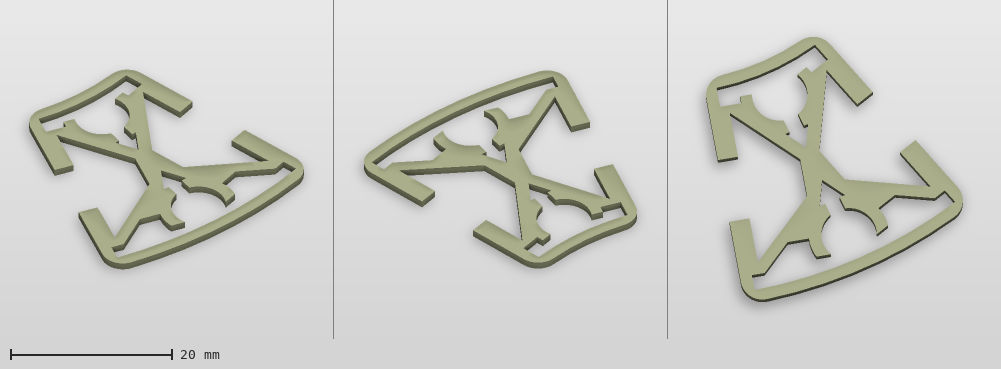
import cadquery as cq
import math

THICKNESS = 1.0
SECTOR_ANGLE = 30.0
HALF_ANGLE = math.radians(SECTOR_ANGLE / 2)
INNER_RADIUS = 30.03
OUTER_RADIUS = 60.0
CORNER_RADIUS = 2.7
WALL = 1.5

BAR_WIDTH = 2.5
INNER_BAR_END = 40.87
OUTER_BAR_END = 49.1
NOTCH_INNER_TIP = 35.0
NOTCH_OUTER_TIP = 54.98
NOTCH_DEPTH = 10.05

SEAT_RADIUS = 3.45
CLIP_OUTER_RADIUS = 5.0
THROAT_HALF_WIDTH = 1.0
RELIEF_HALF_ANGLE = math.radians(30)
INNER_SEAT_DISTANCE = 34.9
INNER_THROAT_END = 39.88
INNER_RELIEF_TIP = 42.6
OUTER_SEAT_DISTANCE = 55.18
OUTER_THROAT_END = 50.3
OUTER_RELIEF_TIP = 47.28

INNER_WINDOW_SIDE = 34.0
INNER_JAW_END = 33.07
INNER_JAW_BASE = 4.15
OUTER_WINDOW_SIDE = 56.5
OUTER_WINDOW_SIDE_TOP = 3.1
OUTER_WEB_SIDE = 53.0
OUTER_JAW_END = 55.5


def polar(radius, angle):
    return (radius * math.cos(angle), radius * math.sin(angle))


def on_ray(along, offset=0.0):
    """Point at a distance along the symmetry ray and an offset to its left."""
    x, y = polar(along, HALF_ANGLE)
    return (x - offset * math.sin(HALF_ANGLE), y + offset * math.cos(HALF_ANGLE))


def on_circle_below(center, radius, x):
    """Point of a circle's lower half at the given X."""
    return (x, center[1] - math.sqrt(radius**2 - (x - center[0]) ** 2))


def arc_middle(center, radius, start, end):
    """Middle of the shorter arc between two points of a circle."""
    dx = (start[0] + end[0]) / 2 - center[0]
    dy = (start[1] + end[1]) / 2 - center[1]
    x, y = polar(radius, math.atan2(dy, dx))
    return (center[0] + x, center[1] + y)


def arc_to(sketch, center, radius, start, end):
    return sketch.threePointArc(arc_middle(center, radius, start, end), end)


def throat_points(throat_end, tip):
    """Throat end, relief shoulder and relief tip, in order toward the tip."""
    shoulder = abs(tip - throat_end) * math.tan(RELIEF_HALF_ANGLE)
    return [
        on_ray(throat_end, -THROAT_HALF_WIDTH),
        on_ray(throat_end, -shoulder),
        on_ray(tip),
    ]


def seat_mouth(distance, side):
    """Point where the seat meets its throat; side is +1 away from the origin."""
    reach = math.sqrt(SEAT_RADIUS**2 - THROAT_HALF_WIDTH**2)
    return on_ray(distance + side * reach, -THROAT_HALF_WIDTH)


def lines_to(sketch, points):
    for point in points:
        sketch = sketch.lineTo(*point)
    return sketch


def sector_plate():
    full_angle = math.radians(SECTOR_ANGLE)
    return (
        cq.Workplane("XY")
        .moveTo(INNER_RADIUS, 0)
        .lineTo(OUTER_RADIUS, 0)
        .threePointArc(on_ray(OUTER_RADIUS), polar(OUTER_RADIUS, full_angle))
        .lineTo(*polar(INNER_RADIUS, full_angle))
        .threePointArc(on_ray(INNER_RADIUS), (INNER_RADIUS, 0))
        .close()
        .extrude(THICKNESS)
        .edges("|Z")
        .fillet(CORNER_RADIUS)
    )


def side_notch():
    flank_run = NOTCH_DEPTH - BAR_WIDTH
    outline = [
        (INNER_BAR_END, 0),
        (INNER_BAR_END, BAR_WIDTH),
        (NOTCH_INNER_TIP, BAR_WIDTH),
        (NOTCH_INNER_TIP + flank_run, NOTCH_DEPTH),
        (NOTCH_OUTER_TIP - flank_run, NOTCH_DEPTH),
        (NOTCH_OUTER_TIP, BAR_WIDTH),
        (OUTER_BAR_END, BAR_WIDTH),
        (OUTER_BAR_END, 0),
    ]
    return cq.Workplane("XY").polyline(outline).close().extrude(THICKNESS)


def window_start(radius):
    """Half window outline begun along its curved wall, from the ray to the straight side."""
    start = on_ray(radius)
    end = (math.sqrt(radius**2 - WALL**2), WALL)
    return arc_to(cq.Workplane("XY").moveTo(*start), (0, 0), radius, start, end)


def inner_half_window():
    seat = on_ray(INNER_SEAT_DISTANCE)
    jaw_tip = on_circle_below(seat, SEAT_RADIUS, INNER_JAW_END)
    sketch = lines_to(
        window_start(INNER_RADIUS + WALL),
        [
            (INNER_WINDOW_SIDE, WALL),
            (INNER_WINDOW_SIDE, INNER_JAW_BASE),
            (INNER_JAW_END, INNER_JAW_BASE),
            jaw_tip,
        ],
    )
    sketch = arc_to(sketch, seat, SEAT_RADIUS, jaw_tip, seat_mouth(INNER_SEAT_DISTANCE, 1))
    sketch = lines_to(sketch, throat_points(INNER_THROAT_END, INNER_RELIEF_TIP))
    return sketch.close().extrude(THICKNESS)


def outer_half_window():
    seat = on_ray(OUTER_SEAT_DISTANCE)
    jaw_root = on_circle_below(seat, CLIP_OUTER_RADIUS, OUTER_WEB_SIDE)
    jaw_outer_tip = on_circle_below(seat, CLIP_OUTER_RADIUS, OUTER_JAW_END)
    jaw_inner_tip = on_circle_below(seat, SEAT_RADIUS, OUTER_JAW_END)
    web_corner_height = OUTER_WINDOW_SIDE_TOP + OUTER_WINDOW_SIDE - OUTER_WEB_SIDE
    sketch = lines_to(
        window_start(OUTER_RADIUS - WALL),
        [
            (OUTER_WINDOW_SIDE, WALL),
            (OUTER_WINDOW_SIDE, OUTER_WINDOW_SIDE_TOP),
            (OUTER_WEB_SIDE, web_corner_height),
            jaw_root,
        ],
    )
    sketch = arc_to(sketch, seat, CLIP_OUTER_RADIUS, jaw_root, jaw_outer_tip)
    sketch = sketch.lineTo(*jaw_inner_tip)
    sketch = arc_to(sketch, seat, SEAT_RADIUS, jaw_inner_tip, seat_mouth(OUTER_SEAT_DISTANCE, -1))
    sketch = lines_to(sketch, throat_points(OUTER_THROAT_END, OUTER_RELIEF_TIP))
    return sketch.close().extrude(THICKNESS)


def mirrored(cut):
    """Reflect a cut across the symmetry ray."""
    return cut.mirror("XZ").rotate((0, 0, 0), (0, 0, 1), SECTOR_ANGLE)


result = sector_plate()
for cut in (side_notch(), inner_half_window(), outer_half_window()):
    result = result.cut(cut).cut(mirrored(cut))